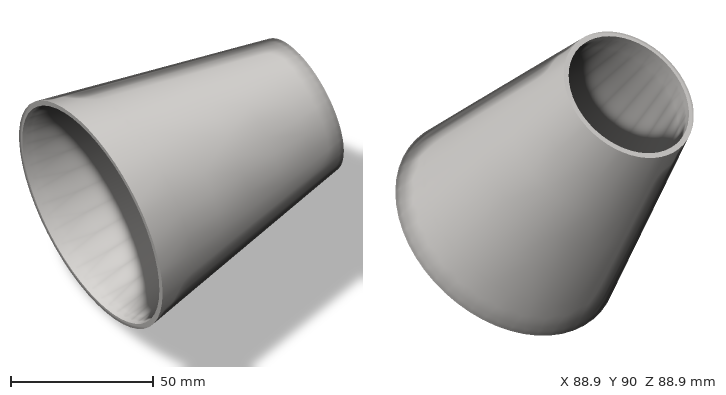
import cadquery as cq

length = 90.0
wide_diameter = 88.9
narrow_diameter = 52.0
wall = 2.0

wide_radius = wide_diameter / 2
narrow_radius = narrow_diameter / 2

wall_section = [
    (wide_radius - wall, 0),
    (wide_radius, 0),
    (narrow_radius, length),
    (narrow_radius - wall, length),
]

result = cq.Workplane("XY").polyline(wall_section).close().revolve(360, (0, 0, 0), (0, 1, 0))